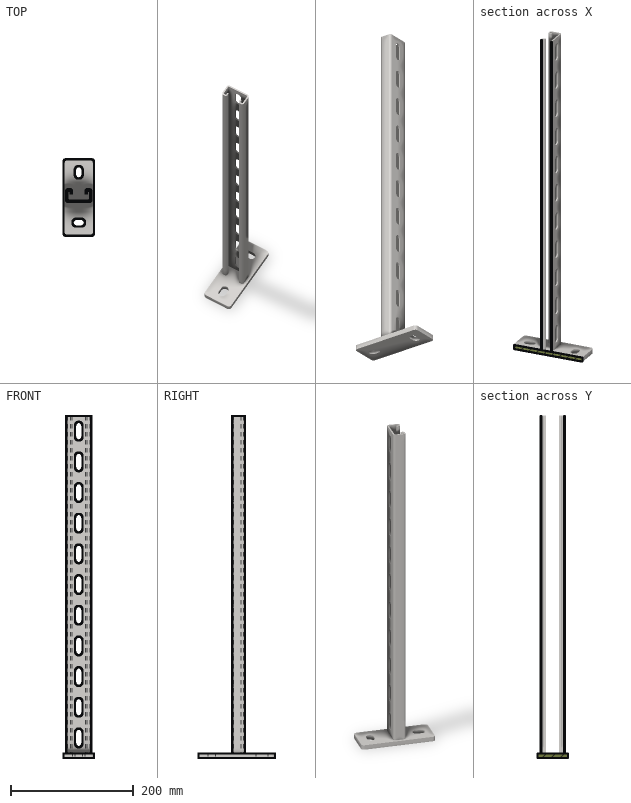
import cadquery as cq

plate_width = 50.0
plate_length = 125.0
plate_thickness = 8.0
plate_corner_radius = 5.0

anchor_slot_length = 20.0
anchor_slot_width = 12.5
anchor_slot_offset = 41.0

overall_height = 558.0
channel_height = overall_height - plate_thickness
channel_width = 41.0
channel_depth = 21.0
channel_back_y = -7.4
sheet_thickness = 2.5
inner_bend_radius = 1.25
outer_bend_radius = inner_bend_radius + sheet_thickness
channel_opening = 22.0
lip_depth = 7.0

back_slot_count = 11
back_slot_pitch = channel_height / back_slot_count
back_slot_length = 30.0
back_slot_width = 11.5


def make_base_plate():
    plate = (
        cq.Workplane("XY")
        .box(plate_width, plate_length, plate_thickness, centered=(True, True, False))
        .edges("|Z")
        .fillet(plate_corner_radius)
    )
    lengthwise_slot = (
        cq.Workplane("XY")
        .center(0, anchor_slot_offset)
        .slot2D(anchor_slot_length, anchor_slot_width, 90)
        .extrude(plate_thickness)
    )
    crosswise_slot = (
        cq.Workplane("XY")
        .center(0, -anchor_slot_offset)
        .slot2D(anchor_slot_length, anchor_slot_width)
        .extrude(plate_thickness)
    )
    return plate.cut(lengthwise_slot).cut(crosswise_slot)


def channel_block(x_min, x_max, y_min, y_max):
    """Upright block of full channel height, standing on the plate."""
    return (
        cq.Workplane("XY")
        .workplane(offset=plate_thickness)
        .center((x_min + x_max) / 2, (y_min + y_max) / 2)
        .rect(x_max - x_min, y_max - y_min)
        .extrude(channel_height)
    )


def make_back_slots():
    """Cutters centred in equal pitches along the channel."""
    first_slot_z = plate_thickness + back_slot_pitch / 2
    slot_centres = [(0, first_slot_z + i * back_slot_pitch) for i in range(back_slot_count)]
    return (
        cq.Workplane("XZ", origin=(0, channel_back_y, 0))
        .pushPoints(slot_centres)
        .slot2D(back_slot_length, back_slot_width, 90)
        .extrude(-sheet_thickness)
    )


def make_channel():
    half_width = channel_width / 2
    half_opening = channel_opening / 2
    front_y = channel_back_y + channel_depth
    inner_half_width = half_width - sheet_thickness
    inner_back_y = channel_back_y + sheet_thickness
    inner_front_y = front_y - sheet_thickness
    lip_inner_x = half_opening + sheet_thickness
    lip_end_y = front_y - lip_depth

    channel = channel_block(-half_width, half_width, channel_back_y, front_y)
    channel = channel.cut(channel_block(-half_opening, half_opening, inner_back_y, front_y))
    channel = channel.edges("|Z").edges("<Y or >Y").fillet(outer_bend_radius)

    hollow = channel_block(-inner_half_width, inner_half_width, inner_back_y, lip_end_y)
    for side in (-1, 1):
        x_limits = sorted((side * lip_inner_x, side * inner_half_width))
        hollow = hollow.union(channel_block(*x_limits, inner_back_y, inner_front_y))
    hollow = hollow.edges("|Z").edges("<Y or >Y").fillet(inner_bend_radius)

    return channel.cut(hollow).cut(make_back_slots())


base_plate = make_base_plate()
channel = make_channel()

result = cq.Compound.makeCompound([base_plate.val(), channel.val()])